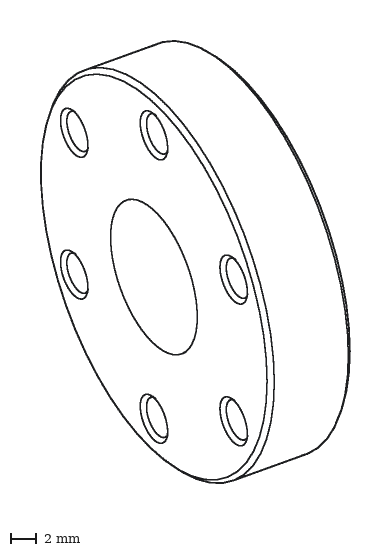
import cadquery as cq

outer_diameter = 34.0
thickness = 7.6
bore_diameter = 12.7
rim_chamfer = 0.4

recess_diameter = 18.0
recess_depth = 1.2

hole_count = 6
bolt_circle_radius = 13.5
hole_diameter = 3.3
countersink_diameter = 4.0
countersink_angle = 90.0


def make_ring():
    """Disc centred on the origin and chamfered on both rims."""
    disc = cq.Workplane("XZ", origin=(0, thickness / 2, 0)).circle(outer_diameter / 2).extrude(thickness)
    return disc.edges("%CIRCLE").chamfer(rim_chamfer)


def cut_stepped_bore(ring):
    """Central through bore, counterbored from the +Y face."""
    return (
        ring.faces(">Y")
        .workplane(origin=(0, 0, 0))
        .cboreHole(bore_diameter, recess_diameter, recess_depth)
    )


def cut_bolt_holes(ring):
    """Through holes on the bolt circle, the first one straight up (+Z)."""
    return (
        ring.faces("<Y")
        .workplane(origin=(0, 0, 0))
        .polarArray(bolt_circle_radius, 90, 360, hole_count)
        .cskHole(hole_diameter, countersink_diameter, countersink_angle)
    )


result = cut_bolt_holes(cut_stepped_bore(make_ring()))